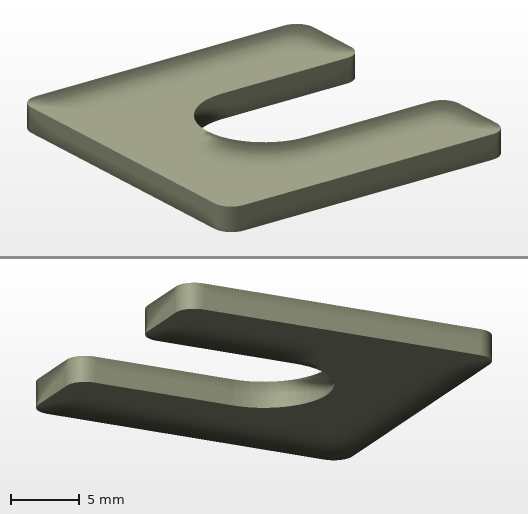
import cadquery as cq

side = 25.4
thickness = 2.0
corner_radius = 1.5
slot_width = 10.15
slot_radius = slot_width / 2
half_side = side / 2

plate = cq.Workplane("XY").rect(side, side).extrude(thickness)

slot_end = cq.Workplane("XY").circle(slot_radius).extrude(thickness)
slot_channel = (
    cq.Workplane("XY")
    .center(0, half_side / 2)
    .rect(slot_width, half_side)
    .extrude(thickness)
)
slotted_plate = plate.cut(slot_channel).cut(slot_end)

outer_corners = cq.selectors.BoxSelector(
    (-side, -side, -thickness), (side, -half_side + corner_radius, 2 * thickness)
)
mouth_corners = cq.selectors.BoxSelector(
    (-side, half_side - corner_radius, -thickness), (side, side, 2 * thickness)
)
result = slotted_plate.edges("|Z").edges(outer_corners + mouth_corners).fillet(corner_radius)